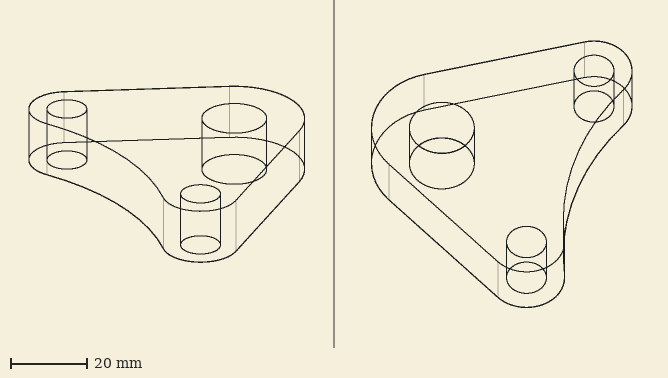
import cadquery as cq
import math

thickness = 15.0
lug_radius = 10.0
lug_spacing = 60.0
lug_hole_diameter = 10.5
head_radius = 18.5
head_height = 32.5
head_hole_diameter = 17.0
relief_radius = 68.0

lug_x = lug_spacing / 2

centre_distance = math.hypot(lug_x, head_height)
axis_angle = math.atan2(-head_height, lug_x)
flank_angle = axis_angle + math.acos((head_radius - lug_radius) / centre_distance)
normal_x = math.cos(flank_angle)
normal_y = math.sin(flank_angle)

relief_distance = relief_radius + lug_radius
relief_y = -math.sqrt(relief_distance**2 - lug_x**2)
relief_angle = math.atan2(relief_y, -lug_x)
lug_middle_angle = (flank_angle + relief_angle) / 2


def lug_point(angle):
    """Point on the rim of the right lug."""
    return (lug_x + lug_radius * math.cos(angle), lug_radius * math.sin(angle))


def mirrored(point):
    """Matching point on the left half of the plate."""
    return (-point[0], point[1])


head_end = (head_radius * normal_x, head_height + head_radius * normal_y)
head_top = (0, head_height + head_radius)
lug_start = lug_point(flank_angle)
lug_middle = lug_point(lug_middle_angle)
lug_end = lug_point(relief_angle)
relief_crest = (0, relief_y + relief_radius)

plate = (
    cq.Workplane("XY")
    .moveTo(*mirrored(head_end))
    .threePointArc(head_top, head_end)
    .lineTo(*lug_start)
    .threePointArc(lug_middle, lug_end)
    .threePointArc(relief_crest, mirrored(lug_end))
    .threePointArc(mirrored(lug_middle), mirrored(lug_start))
    .close()
    .extrude(thickness)
)

head_hole = (
    cq.Workplane("XY")
    .center(0, head_height)
    .circle(head_hole_diameter / 2)
    .extrude(thickness)
)
lug_holes = (
    cq.Workplane("XY")
    .pushPoints([(-lug_x, 0), (lug_x, 0)])
    .circle(lug_hole_diameter / 2)
    .extrude(thickness)
)

result = plate.cut(head_hole).cut(lug_holes)